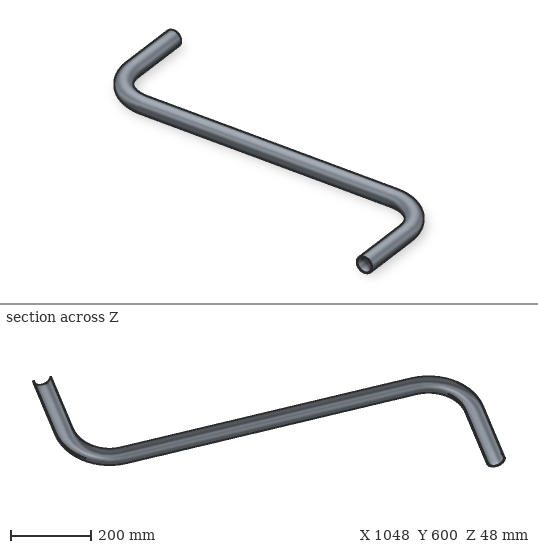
import cadquery as cq

overall_length = 1048.0
overall_width = 600.0

outer_diameter = 48.0
bore_diameter = 42.0
bend_radius = 120.0

hole_diameter = 6.0
hole_end_distance = 17.0

leg_x = (overall_length - outer_diameter) / 2
leg_end_y = overall_width / 2
bend_start_x = leg_x - bend_radius


def centreline():
    """S-shaped path from the end of the +Y leg to the end of the -Y leg."""
    return (
        cq.Workplane("XY")
        .moveTo(-leg_x, leg_end_y)
        .lineTo(-leg_x, bend_radius)
        .radiusArc((-bend_start_x, 0), -bend_radius)
        .lineTo(bend_start_x, 0)
        .radiusArc((leg_x, -bend_radius), bend_radius)
        .lineTo(leg_x, -leg_end_y)
    )


def swept_rod(diameter):
    """Solid round bar following the centreline."""
    return (
        cq.Workplane("XZ", origin=(-leg_x, leg_end_y, 0))
        .circle(diameter / 2)
        .sweep(centreline())
    )


def wall_hole_cutter():
    """Pin from the leg axis out through the outward-facing (-X) wall only."""
    return (
        cq.Workplane("YZ", origin=(-leg_x, leg_end_y - hole_end_distance, 0))
        .circle(hole_diameter / 2)
        .extrude(-outer_diameter)
    )


tube = swept_rod(outer_diameter).cut(swept_rod(bore_diameter))
result = tube.cut(wall_hole_cutter())